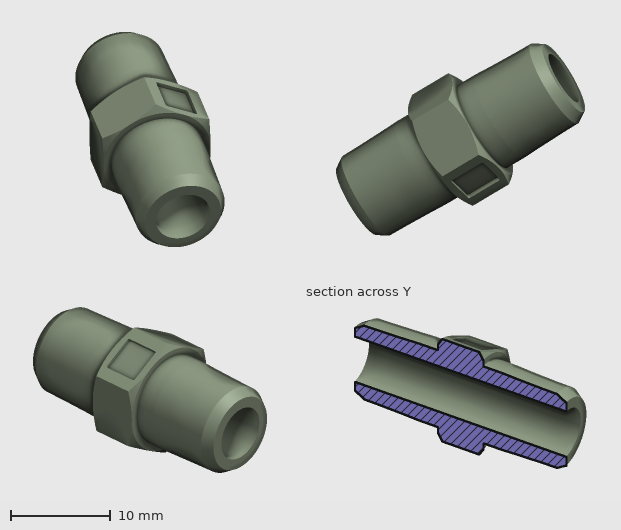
import cadquery as cq
import math

length = 24.65
bore_diameter = 5.6
collar_diameter = 9.65
hex_across_flats = 11.11
hex_width = 5.32

collar_half_length = 4.73
taper_end_diameter = 9.26
tip_diameter = 7.88
tip_chamfer_length = 1.08

hex_chamfer_angle = 30.0

recess_side = 3.8
recess_depth = 0.45
recess_corner_radius = 0.2
recess_flat_angles = (-30.0, 150.0)

half_length = length / 2
half_hex = hex_width / 2
hex_across_corners = hex_across_flats / math.cos(math.radians(30))


def make_tapered_body():
    """Revolve the central collar with its tapered, chamfered ends."""
    taper_end = half_length - tip_chamfer_length
    right_half = [
        (collar_half_length, collar_diameter / 2),
        (taper_end, taper_end_diameter / 2),
        (half_length, tip_diameter / 2),
        (half_length, 0),
    ]
    left_half = [(-x, radius) for x, radius in reversed(right_half)]
    outline = cq.Workplane("XY").polyline(right_half[::-1] + left_half[::-1]).close()
    return outline.revolve(360, (0, 0, 0), (1, 0, 0))


def make_hexagon():
    """Extrude the hexagon and cone off its corners at both end faces."""
    hexagon = (
        cq.Workplane("YZ", origin=(-half_hex, 0, 0))
        .polygon(6, hex_across_corners)
        .extrude(hex_width)
        .rotate((0, 0, 0), (1, 0, 0), 90)
    )
    flat_radius = hex_across_flats / 2
    corner_radius = hex_across_corners / 2
    chamfer_length = (corner_radius - flat_radius) * math.tan(math.radians(hex_chamfer_angle))
    envelope = (
        cq.Workplane("XY")
        .moveTo(-half_hex, 0)
        .lineTo(-half_hex, flat_radius)
        .lineTo(-half_hex + chamfer_length, corner_radius)
        .lineTo(half_hex - chamfer_length, corner_radius)
        .lineTo(half_hex, flat_radius)
        .lineTo(half_hex, 0)
        .close()
        .revolve(360, (0, 0, 0), (1, 0, 0))
    )
    return hexagon.intersect(envelope)


def make_recess(flat_angle):
    """Make the cutter for a shallow square recess in one hexagon flat."""
    floor_height = hex_across_flats / 2 - recess_depth
    return (
        cq.Workplane("XY", origin=(0, 0, floor_height))
        .rect(recess_side, recess_side)
        .extrude(2 * recess_depth)
        .edges("|Z")
        .fillet(recess_corner_radius)
        .rotate((0, 0, 0), (1, 0, 0), flat_angle)
    )


result = make_tapered_body().union(make_hexagon())
for flat_angle in recess_flat_angles:
    result = result.cut(make_recess(flat_angle))

bore = cq.Workplane("YZ", origin=(-half_length, 0, 0)).circle(bore_diameter / 2).extrude(length)
result = result.cut(bore)